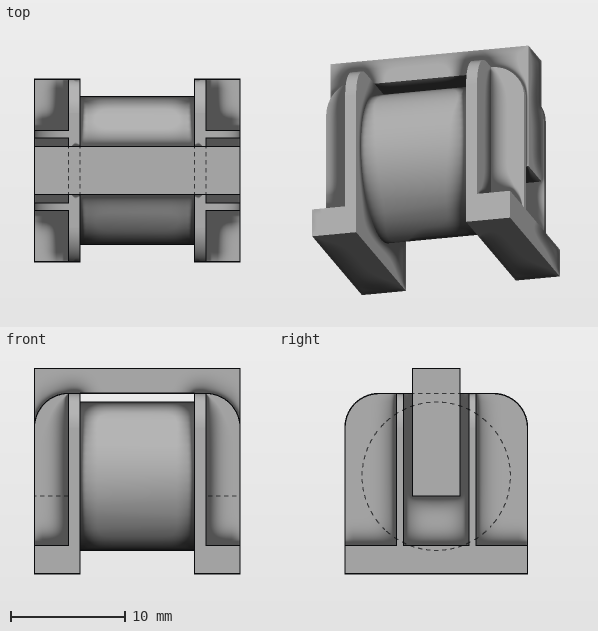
import cadquery as cq


LENGTH_X = 18.0
WIDTH_Y = 16.0
HEIGHT_Z = 18.0

FOOT_HEIGHT = 2.5
FOOT_LENGTH = 4.0
FLANGE_THICKNESS = 1.0
FLANGE_TOP_Z = 15.8
CORNER_RADIUS = 3.0
RIB_LENGTH = FOOT_LENGTH - FLANGE_THICKNESS
RIB_THICKNESS = 0.65
RIB_OUTER_Y = 3.5
RIB_CENTER_Y = RIB_OUTER_Y - RIB_THICKNESS / 2

COIL_DIAMETER = 13.0
COIL_CENTER_Z = 8.55
COIL_LENGTH = LENGTH_X - 2 * FOOT_LENGTH

CORE_WIDTH = 4.2
CORE_BOTTOM_Z = 6.8
CORE_LEG_LENGTH = RIB_LENGTH


def block(x_min, x_max, width, z_min, z_max, center_y=0.0):
    """Box spanning the given X and Z limits, centred on center_y."""
    return (
        cq.Workplane("XY")
        .box(x_max - x_min, width, z_max - z_min, centered=(False, True, False))
        .translate((x_min, center_y, z_min))
    )


def make_bobbin_end():
    """Foot, flange and two ribs at the -X end."""
    outer_x = -LENGTH_X / 2
    flange_outer_x = outer_x + RIB_LENGTH
    inner_x = outer_x + FOOT_LENGTH

    foot = block(outer_x, inner_x, WIDTH_Y, 0, FOOT_HEIGHT)
    flange = block(flange_outer_x, inner_x, WIDTH_Y, 0, FLANGE_TOP_Z)
    end = foot.union(flange.edges("|X and >Z").fillet(CORNER_RADIUS))

    for side in (-1, 1):
        rib = block(outer_x, inner_x, RIB_THICKNESS, 0, FLANGE_TOP_Z, side * RIB_CENTER_Y)
        end = end.union(rib.edges("|Y and >Z and <X").fillet(CORNER_RADIUS))
    return end


def make_coil():
    """Round winding along X, between the two flanges."""
    return (
        cq.Workplane("YZ", origin=(-COIL_LENGTH / 2, 0, COIL_CENTER_Z))
        .circle(COIL_DIAMETER / 2)
        .extrude(COIL_LENGTH)
    )


def make_core():
    """Yoke across the flange tops, with a leg hanging down at each end."""
    end_x = LENGTH_X / 2
    core = block(-end_x, end_x, CORE_WIDTH, FLANGE_TOP_Z, HEIGHT_Z)
    leg = block(-end_x, -end_x + CORE_LEG_LENGTH, CORE_WIDTH, CORE_BOTTOM_Z, HEIGHT_Z)
    return core.union(leg).union(leg.mirror("YZ"))


bobbin_end = make_bobbin_end()
result = bobbin_end.union(bobbin_end.mirror("YZ")).union(make_coil()).union(make_core())